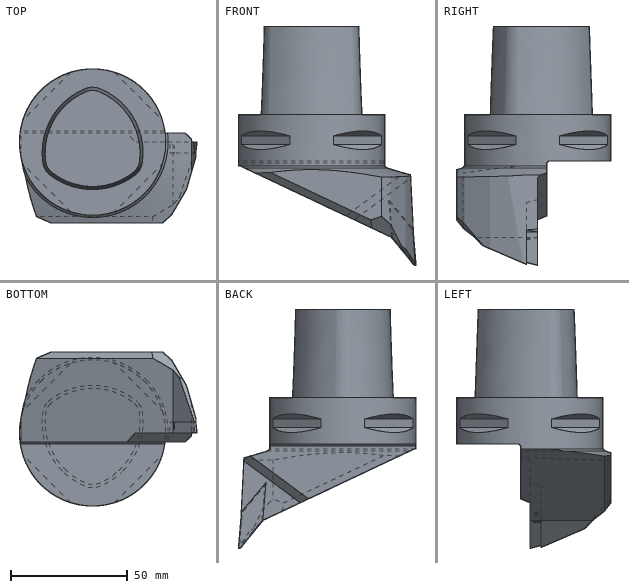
import cadquery as cq
import math

flange_radius = 31.5
flange_height = 20.0
flat_side_y = 3.9
root_chamfer = 0.8

shank_height = 38.0
lobe_reach = 23.6
flank_reach = 20.5
lobe_radius = 8.2
shank_inset = 1.3

slot_count = 4
slot_z = -11.0
slot_floor_reach = 27.9
slot_floor_height = 3.6
slot_mouth_height = 8.0
slot_length = 51.5

neck_z = -22.0
shoulder_radius = 32.6
shoulder_z = -23.0
shoulder_slope = 0.29
head_reach = 51.5
head_bottom_z = -72.1
front_y = -34.9
head_plan = [
    (-head_reach, flat_side_y),
    (-head_reach, front_y),
    (30.1, front_y),
    (34.1, -31.3),
    (40.5, -20.4),
    (47.5, flat_side_y),
]
underside_point = (-flange_radius, 0, -21.7)
underside_slope = -0.472
chamfer_y = -32.1
chamfer_slope = -1.2
corner_point = (25.8, front_y, -45.2)
corner_slopes = (0.33, -1.35)
nose_point = (37.1, -24.1, -56.2)
nose_slope = -0.43
tip_point = (34.6, 0, -53.0)
tip_slope = -1.26
side_point = (42.7, 0, -25.7)
side_lean = 0.05

relief_start = (14.8, -43.6)
relief_slope = 0.74
relief_run = 5.8

insert_tip = (45.1, -65.8)
insert_side = 16.6
insert_thickness = 4.7
insert_lead_angle = 94.8
insert_tip_angle = 35
insert_clearance_angle = 5
insert_nose_radius = 0.4
tip_overrun = 2.1

cutter_size = 309.1


def polar(radius, degrees):
    angle = math.radians(degrees)
    return (radius * math.cos(angle), radius * math.sin(angle))


def space_below(point, slope_x, slope_y):
    """Block filling the space under a plane with the given rises along X and Y."""
    plane = cq.Plane(origin=point, xDir=(1, 0, slope_x), normal=(-slope_x, -slope_y, 1))
    return cq.Workplane(plane).rect(cutter_size, cutter_size).extrude(-cutter_size)


def shank_outline(inset, z):
    """Three lobe arcs joined by three tangent flank arcs."""
    centre = lobe_reach - lobe_radius
    flank_to_lobe = flank_reach - lobe_radius
    flank_centre = (centre**2 - flank_to_lobe**2) / (2 * flank_to_lobe - centre)
    half_sweep = math.atan2(
        flank_centre * math.sin(math.radians(60)),
        centre + flank_centre * math.cos(math.radians(60)),
    )
    tip_radius = lobe_radius - inset
    join_radius = math.hypot(
        centre + tip_radius * math.cos(half_sweep), tip_radius * math.sin(half_sweep)
    )
    join_angle = math.degrees(math.asin(tip_radius * math.sin(half_sweep) / join_radius))
    outline = cq.Workplane("XY", origin=(0, 0, z)).moveTo(*polar(join_radius, 90 - join_angle))
    for lobe_angle in (90, 210, 330):
        crest = polar(lobe_reach - inset, lobe_angle)
        lobe_end = polar(join_radius, lobe_angle + join_angle)
        flank_middle = polar(flank_reach - inset, lobe_angle + 60)
        next_lobe = polar(join_radius, lobe_angle + 120 - join_angle)
        outline = outline.threePointArc(crest, lobe_end)
        outline = outline.threePointArc(flank_middle, next_lobe)
    return outline.wire().val()


def make_shank():
    base = shank_outline(0, 0)
    top = shank_outline(shank_inset, shank_height)
    return cq.Workplane(cq.Solid.makeLoft([base, top], True))


def make_slot(angle):
    """Trapezoidal groove that widens from its flat floor to the flange rim."""
    depth = flange_radius - slot_floor_reach
    flare = (slot_mouth_height - slot_floor_height) / 2 / depth
    cut_reach = flange_radius + 1
    outer_half = slot_floor_height / 2 + flare * (cut_reach - slot_floor_reach)
    floor_half = slot_floor_height / 2
    return (
        cq.Workplane("XZ")
        .moveTo(slot_floor_reach, slot_z - floor_half)
        .lineTo(cut_reach, slot_z - outer_half)
        .lineTo(cut_reach, slot_z + outer_half)
        .lineTo(slot_floor_reach, slot_z + floor_half)
        .close()
        .extrude(slot_length / 2, both=True)
        .rotate((0, 0, 0), (0, 0, 1), angle)
    )


def make_flange():
    flange = cq.Workplane("XY").circle(flange_radius).extrude(-flange_height)
    skirt = (
        cq.Workplane("YZ")
        .moveTo(flat_side_y + root_chamfer, -flange_height)
        .lineTo(flat_side_y, -flange_height - root_chamfer)
        .lineTo(flat_side_y, neck_z)
        .lineTo(-head_reach, neck_z)
        .lineTo(-head_reach, -flange_height)
        .close()
        .extrude(head_reach, both=True)
    )
    rim = cq.Workplane("XY").circle(flange_radius).extrude(neck_z)
    flange = flange.union(rim.intersect(skirt))
    for index in range(slot_count):
        flange = flange.cut(make_slot(45 + index * 360 / slot_count))
    return flange


def make_relief():
    """Space above the insert, on the +X and lower side of the sloping step."""
    slope_y = relief_slope * relief_run / flat_side_y
    step_point = (relief_start[0], flat_side_y, relief_start[1])
    above_insert = cq.Workplane("XZ").rect(cutter_size, cutter_size).extrude(-cutter_size)
    return space_below(step_point, relief_slope, slope_y).intersect(above_insert)


def make_head():
    prism = (
        cq.Workplane("XY", origin=(0, 0, head_bottom_z))
        .polyline(head_plan)
        .close()
        .extrude(neck_z - head_bottom_z)
    )
    outer_radius = 2 * head_reach
    shoulder_end_z = shoulder_z - shoulder_slope * (outer_radius - shoulder_radius)
    shoulder = (
        cq.Workplane("XZ")
        .moveTo(0, neck_z)
        .lineTo(flange_radius, neck_z)
        .lineTo(shoulder_radius, shoulder_z)
        .lineTo(outer_radius, shoulder_end_z)
        .lineTo(outer_radius, head_bottom_z)
        .lineTo(0, head_bottom_z)
        .close()
        .revolve(360, (0, 0, 0), (0, 1, 0))
    )
    chamfer_point = (underside_point[0], chamfer_y, underside_point[2])
    head = prism.intersect(shoulder)
    underside = space_below(underside_point, underside_slope, 0)
    head = head.cut(underside.intersect(space_below(tip_point, tip_slope, 0)))
    head = head.cut(space_below(chamfer_point, underside_slope, chamfer_slope))
    head = head.cut(space_below(corner_point, *corner_slopes))
    head = head.cut(space_below(nose_point, 0, nose_slope))
    side_plane = cq.Plane(origin=side_point, xDir=(0, 1, 0), normal=(1, 0, side_lean))
    beyond_side = cq.Workplane(side_plane).rect(cutter_size, cutter_size).extrude(cutter_size)
    return head.cut(beyond_side).cut(make_relief())


def insert_outline():
    """Sharp rhombus of the rake face."""
    lead_x, lead_z = polar(insert_side, insert_lead_angle)
    trail_x, trail_z = polar(insert_side, insert_lead_angle + insert_tip_angle)
    tip_x, tip_z = insert_tip
    corners = [
        (tip_x, tip_z),
        (tip_x + lead_x, tip_z + lead_z),
        (tip_x + lead_x + trail_x, tip_z + lead_z + trail_z),
        (tip_x + trail_x, tip_z + trail_z),
    ]
    return cq.Workplane("XZ").polyline(corners).close()


def make_insert():
    """Rhombic plate with its rake face at Y = 0, tapering towards -Y."""
    plate = insert_outline().extrude(insert_thickness, taper=insert_clearance_angle)
    nearest_tip = cq.selectors.NearestToPointSelector(
        (insert_tip[0], -insert_thickness / 2, insert_tip[1])
    )
    return plate.edges(nearest_tip).fillet(insert_nose_radius)


def make_tip_clearance():
    """Space beside the two exposed flanks of the insert, beyond its tip."""
    shift_x, shift_z = polar(tip_overrun, insert_lead_angle + insert_tip_angle / 2)
    block = insert_outline().extrude(insert_thickness)
    return block.translate((-shift_x, 0, -shift_z))


insert = make_insert()
holder = make_flange().union(make_shank()).union(make_head()).cut(make_tip_clearance()).cut(insert)

result = cq.Compound.makeCompound([holder.val(), insert.val()])